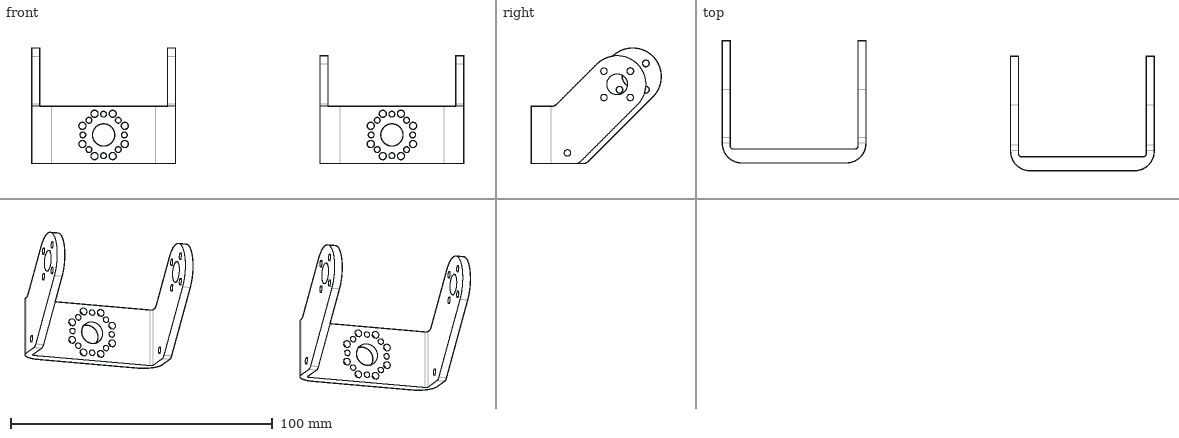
import cadquery as cq
import math

bracket_width = 55.0
bracket_pitch = 110.0
bracket_stagger = 3.0
arm_thickness = 3.1
base_thickness = 5.5
outer_corner_radius = 7.6
inner_corner_radius = 1.0

base_height = 22.0
arm_angle = math.radians(45)
elbow_y = 13.5
long_arm_rise = 22.3
short_arm_rise = 19.3
elbow_fillet_radius = 3.0
base_middle_z = base_height / 2
head_radius = base_height / 2

hub_diameter = 8.4
head_hub_diameter = 8.0
head_hole_diameter = 2.5
head_hole_spacing = 10.0
ring_radius = 8.0
small_hole_diameter = 2.1
small_hole_count = 8
pair_hole_diameter = 2.6
pair_distance = 8.1
pair_half_spacing = 3.5
foot_hole_y = 13.9
foot_hole_z = 4.1
foot_hole_diameter = 2.5


def head_centre(arm_rise):
    """Y and Z of the centre of the round arm head."""
    return elbow_y + arm_rise / math.tan(arm_angle), base_middle_z + arm_rise


def u_channel(depth, height):
    """Upright U with its base plate along Y = 0 and its arms toward +Y."""
    block = cq.Workplane("XY").box(bracket_width, depth, height, centered=(True, False, False))
    block = block.edges("|Z and <Y").fillet(outer_corner_radius)
    opening = (
        cq.Workplane("XY")
        .box(bracket_width - 2 * arm_thickness, depth, height, centered=(True, False, False))
        .edges("|Z and <Y")
        .fillet(inner_corner_radius)
        .translate((0, base_thickness, 0))
    )
    return block.cut(opening)


def side_outline(arm_rise):
    """Full-width block with the side outline of base, sloping arm and round head."""
    head_y, head_z = head_centre(arm_rise)
    along_y, along_z = head_radius * math.cos(arm_angle), head_radius * math.sin(arm_angle)
    bend_shift = base_middle_z * math.tan(arm_angle / 2)
    upper_bend_y = elbow_y - bend_shift
    lower_bend_y = elbow_y + bend_shift
    outline = (
        cq.Workplane("YZ")
        .moveTo(0, 0)
        .lineTo(lower_bend_y, 0)
        .lineTo(head_y + along_z, head_z - along_y)
        .threePointArc((head_y + along_y, head_z + along_z), (head_y - along_z, head_z + along_y))
        .lineTo(upper_bend_y, base_height)
        .lineTo(0, base_height)
        .close()
        .extrude(bracket_width / 2, both=True)
    )
    for bend_y, bend_z in ((lower_bend_y, 0), (upper_bend_y, base_height)):
        bend = cq.selectors.NearestToPointSelector((0, bend_y, bend_z))
        outline = outline.edges("|X").edges(bend).fillet(elbow_fillet_radius)
    return outline


def base_holes():
    """Hub hole, ring of small holes and four pairs of holes through the base plate."""
    def drill(points, diameter):
        front = cq.Workplane("XZ", origin=(0, 0, base_middle_z)).pushPoints(points)
        return front.circle(diameter / 2).extrude(-base_thickness)

    turns = [2 * math.pi * i / small_hole_count for i in range(small_hole_count)]
    ring = [(ring_radius * math.cos(turn), ring_radius * math.sin(turn)) for turn in turns]
    pairs = []
    for side in (-pair_distance, pair_distance):
        for shift in (-pair_half_spacing, pair_half_spacing):
            pairs += [(side, shift), (shift, side)]
    holes = drill([(0, 0)], hub_diameter)
    holes = holes.add(drill(ring, small_hole_diameter))
    return holes.add(drill(pairs, pair_hole_diameter))


def arm_holes(arm_rise):
    """Head hub, the square of four holes around it and the foot hole, through both arms."""
    def drill(points, diameter):
        side = cq.Workplane("YZ").pushPoints(points)
        return side.circle(diameter / 2).extrude(bracket_width / 2, both=True)

    head_y, head_z = head_centre(arm_rise)
    half = head_hole_spacing / 2
    corners = [(head_y + dy, head_z + dz) for dy in (-half, half) for dz in (-half, half)]
    holes = drill([(head_y, head_z)], head_hub_diameter)
    holes = holes.add(drill(corners, head_hole_diameter))
    return holes.add(drill([(foot_hole_y, foot_hole_z)], foot_hole_diameter))


def make_bracket(arm_rise):
    """One complete bracket, centred on X = 0 with its base front on Y = 0."""
    head_y, head_z = head_centre(arm_rise)
    bracket = u_channel(head_y + head_radius, head_z + head_radius)
    bracket = bracket.intersect(side_outline(arm_rise))
    for hole in base_holes().vals() + arm_holes(arm_rise).vals():
        bracket = bracket.cut(cq.Workplane(hole))
    return bracket.solids()


long_bracket = make_bracket(long_arm_rise).translate((0, bracket_stagger, 0))
short_bracket = make_bracket(short_arm_rise).translate((bracket_pitch, 0, 0))

result = cq.Compound.makeCompound([long_bracket.val(), short_bracket.val()])